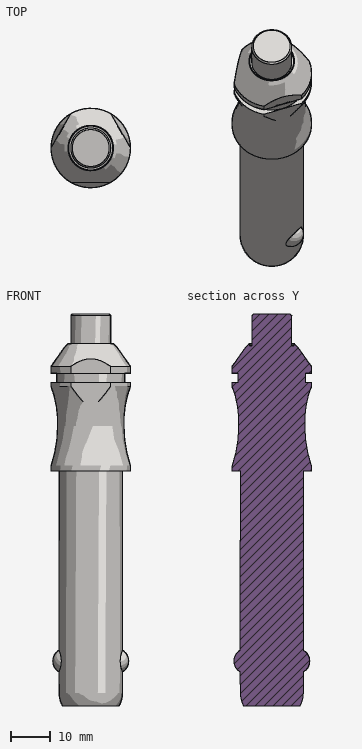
import cadquery as cq
import math

length = 98.5
shank_radius = 8.0
collar_radius = 10.0
waist_radius = 8.4
neck_radius = 8.6
button_radius = 5.0

tip_height = 3.25
handle_base = 59.0
lower_rim_top = 60.4
waist_height = 70.2
upper_rim_base = 80.3
neck_base = 81.3
neck_top = 83.5
cap_rim_top = 85.3
cap_top = 91.0

tip_end_radius = 7.1
cap_top_radius = 5.7
cap_chamfer_radius = 6.6
cap_chamfer_height = 0.9
bore_radius = 5.5
bore_depth = 0.5
button_chamfer = 0.4

flat_count = 3
flat_distance = collar_radius * math.cos(math.pi / 6)
grip_mid_height = (waist_height + upper_rim_base) / 2

ball_radius = 3.2
ball_offset = 6.4
ball_height = 11.3


def tangent_arc_middle(tangent_point, end_point):
    """Point halfway in height on an arc that is parallel to Z at its first point."""
    (r0, z0), (r1, z1) = tangent_point, end_point
    dr = r1 - r0
    dz = z1 - z0
    arc_radius = (dr**2 + dz**2) / (2 * abs(dr))
    bow = arc_radius - math.sqrt(arc_radius**2 - (dz / 2) ** 2)
    return r0 + math.copysign(bow, dr), (z0 + z1) / 2


def make_pin():
    """Revolved shank with rounded tip, waisted handle, neck and conical cap."""
    tip_edge = (shank_radius, tip_height)
    tip_end = (tip_end_radius, 0)
    waist = (waist_radius, waist_height)
    lower_rim = (collar_radius, lower_rim_top)
    return (
        cq.Workplane("XZ")
        .lineTo(*tip_end)
        .threePointArc(tangent_arc_middle(tip_edge, tip_end), tip_edge)
        .lineTo(shank_radius, handle_base)
        .lineTo(collar_radius, handle_base)
        .lineTo(*lower_rim)
        .threePointArc(tangent_arc_middle(waist, lower_rim), waist)
        .threePointArc((flat_distance, grip_mid_height), (collar_radius, upper_rim_base))
        .lineTo(collar_radius, neck_base)
        .lineTo(neck_radius, neck_base)
        .lineTo(neck_radius, neck_top)
        .lineTo(collar_radius, neck_top)
        .lineTo(collar_radius, cap_rim_top)
        .lineTo(cap_chamfer_radius, cap_top - cap_chamfer_height)
        .lineTo(cap_top_radius, cap_top)
        .lineTo(bore_radius, cap_top)
        .lineTo(bore_radius, cap_top - bore_depth)
        .lineTo(button_radius, cap_top - bore_depth)
        .lineTo(button_radius, length - button_chamfer)
        .lineTo(button_radius - button_chamfer, length)
        .lineTo(0, length)
        .close()
        .revolve(360, (0, 0, 0), (0, 1, 0))
    )


def cut_grip_flats(body):
    """Cut flats on the cap rim and upper handle rim, the first facing -Y."""
    cutter = cq.Workplane("XY").box(
        2 * collar_radius,
        collar_radius,
        cap_top - waist_height,
        centered=(True, False, False),
    ).translate((0, -flat_distance - collar_radius, waist_height))
    for i in range(flat_count):
        body = body.cut(cutter.rotate((0, 0, 0), (0, 0, 1), i * 360 / flat_count))
    return body


def add_locking_balls(body):
    """Add a ball on each side of the shank along X."""
    for side in (-1, 1):
        ball = cq.Workplane("XY").sphere(ball_radius)
        body = body.union(ball.translate((side * ball_offset, 0, ball_height)))
    return body


result = add_locking_balls(cut_grip_flats(make_pin()))